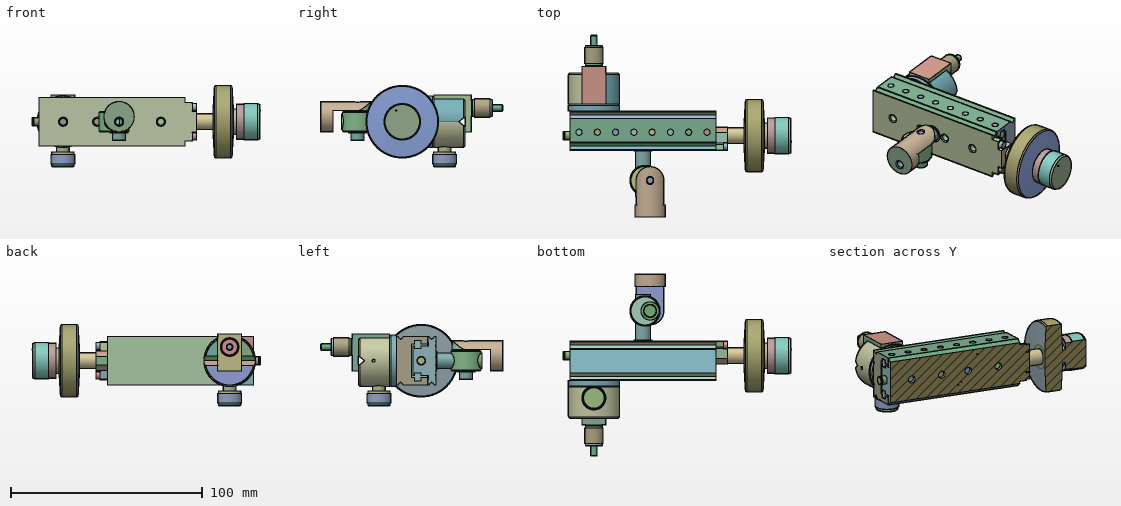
import cadquery as cq


body_length = 76.2
body_height = 25.5
body_front = -7.6
body_back = 13.0
half_height = body_height / 2

groove_depth = 1.7
back_groove_y = 10.7
front_groove_y = -5.5

gap_outer_z = 8.8
gap_inner_z = 7.7
gap_back_y = 5.0
stem_back_y = 4.3
slit_back_y = -3.2
slit_front_y = -3.6
end_recess = 0.2

seat_width = 3.5
seat_inner_z = 6.4
seat_outer_z = 10.6
seat_center_y = 1.8

screw_count = 8
screw_pitch = 9.5
screw_hole_diameter = 3.2
screw_recess = 0.1
mount_hole_diameter = 3.6
mount_hole_mouth = 4.8
mount_hole_depth = 3.6
mount_hole_offsets = (-25.5, -7.7, 7.7, 25.5)

plate_end = 80.0
bearing_end = 82.2
plate_half_height = 10.1
plate_back_y = -3.8
plate_chamfer = 0.7
bearing_half_height = 5.1
tongue_half_height = 5.4
bearing_back_y = 4.4
bearing_chamfer = 2.9
cap_screw_diameter = 3.8
cap_screw_z = 7.6

shaft_diameter = 8.3
pin_diameter = 4.4
pin_length = 3.6
pin_chamfer = 0.2
pin_groove_start = 0.7
pin_groove_end = 1.1
pin_groove_depth = 0.2
wheel_start = 90.7
wheel_end = 101.5
wheel_diameter = 37.9
wheel_hub_diameter = 12.6
wheel_dish = 0.7
wheel_face_diameter = 36.9
wheel_chamfer = 0.8
neck_diameter = 13.3
knob_start = 102.9
knob_step = 106.9
knob_end = 115.1
knob_inner_diameter = 18.5
knob_outer_diameter = 19.0
knob_face_diameter = 18.0
knob_inner_chamfer = 0.2
knob_outer_chamfer = 1.1
index_dot_diameter = 0.7
index_dot_y = -3.2
index_dot_z = 5.8
index_dot_end = 115.5

clamp_x = 12.5
clamp_diameter = 26.9
clamp_end = 32.7
clamp_chamfer = 0.8
seam_start = 15.8
seam_end = 16.4
seam_depth = 0.4
notch_depth = 3.2
notch_half_height = 2.5
oil_hole_diameter = 1.5
oil_hole_depth = 2.4
oil_hole_y = 24.8

bracket_width = 12.6
bracket_top = 14.0
bracket_base_z = 6.0
bracket_bottom = -5.4
bracket_back = 36.1

spindle_z = 7.1
spindle_tip = 52.4
spindle_pin_diameter = 3.5
spindle_neck_diameter = 8.3
spindle_neck_end = 36.5
spindle_grip_start = 37.6
spindle_grip_end = 45.8
spindle_collar_end = 47.0
spindle_chamfer = 0.4
spindle_collar_diameter = 8.9
spindle_grip_diameter = 9.8

thumb_y = 22.0
thumb_bottom = -23.6
thumb_stem_diameter = 6.8
thumb_stem_top = -11.9
thumb_top = -15.7
thumb_grip_top = -17.1
thumb_grip_bottom = -21.9
thumb_chamfer = 0.5
thumb_rim_diameter = 11.7
thumb_grip_diameter = 12.5

rod_x = body_length / 2
rod_diameter = 8.0
rod_tip = -31.8
washer_diameter = 9.5
washer_thickness = 0.5
disc_x = 39.2
joint_x = 41.8
joint_y = -23.3
disc_diameter = 15.8
disc_half_height = 5.4
disc_chamfer = 0.6
bolt_diameter = 6.9
bolt_bottom = -9.9
bolt_chamfer = 0.4

arm_diameter = 15.8
arm_z = 2.6
arm_tip = -42.5
arm_foot_back = -36.1
arm_flat_z = disc_half_height + washer_thickness
arm_hole_diameter = 3.6
arm_hole_mouth = 4.8
pivot_hole_diameter = 3.2
pivot_hole_mouth = 4.3
pivot_hole_depth = 0.6

TURNING_FRAMES = {
    "X": ((0, 1, 0), (0, 0, -1)),
    "Y": ((1, 0, 0), (0, 0, 1)),
    "Z": ((1, 0, 0), (0, -1, 0)),
}


def turned(axis, center, profile):
    """Solid of revolution; profile lists (diameter, position along the axis)."""
    radial, normal = TURNING_FRAMES[axis]
    outline = [(0, profile[0][1])]
    outline += [(diameter / 2, position) for diameter, position in profile]
    outline += [(0, profile[-1][1])]
    plane = cq.Plane(origin=center, xDir=radial, normal=normal)
    return cq.Workplane(plane).polyline(outline).close().revolve(360, (0, 0), (0, 1))


def rod(axis, center, diameter, start, end):
    return turned(axis, center, [(diameter, start), (diameter, end)])


def block(x_range, y_range, z_range):
    """Box given by its limits along each axis."""
    sizes = [high - low for low, high in (x_range, y_range, z_range)]
    corner = (x_range[0], y_range[0], z_range[0])
    return cq.Workplane("XY").box(*sizes, centered=False).translate(corner)


def prism_x(points, start, end):
    """Prism along X from (y, z) corner points."""
    return cq.Workplane("YZ").workplane(offset=start).polyline(points).close().extrude(end - start)


def countersunk_hole(axis, center, diameter, mouth, surface, bottom):
    """Cutter for a hole with a 45 degree countersink at the surface."""
    inward = 1 if bottom > surface else -1
    shoulder = surface + inward * (mouth - diameter) / 2
    return turned(axis, center, [(mouth, surface), (diameter, shoulder), (diameter, bottom)])


def end_outline(start):
    """Cutter for the carriage outline and bearing seats in one end of the body."""
    x_range = (start, start + end_recess)
    outside = block(x_range, (slit_front_y, gap_back_y), (-gap_outer_z, gap_outer_z))
    stem = block(x_range, (slit_front_y, stem_back_y), (-gap_inner_z, gap_inner_z))
    outline = outside.cut(stem)
    seat_y = (seat_center_y - seat_width / 2, seat_center_y + seat_width / 2)
    outline = outline.union(block(x_range, seat_y, (seat_inner_z, seat_outer_z)))
    return outline.union(block(x_range, seat_y, (-seat_outer_z, -seat_inner_z)))


def stage_body():
    body = block((0, body_length), (body_front, body_back), (-half_height, half_height))
    for start in (0, body_length - end_recess):
        body = body.cut(end_outline(start))
    for side in (-1, 1):
        surface = side * half_height
        slit_z = sorted((side * gap_inner_z, surface))
        body = body.cut(block((0, body_length), (slit_front_y, slit_back_y), slit_z))
        for groove_y in (front_groove_y, back_groove_y):
            corners = [
                (groove_y - groove_depth, surface),
                (groove_y, surface - side * groove_depth),
                (groove_y + groove_depth, surface),
            ]
            body = body.cut(prism_x(corners, 0, body_length))

    first_screw = (body_length - (screw_count - 1) * screw_pitch) / 2
    for index in range(screw_count):
        center = (first_screw + index * screw_pitch, seat_center_y, 0)
        recess_floor = half_height - screw_recess
        body = body.cut(rod("Z", center, screw_hole_diameter, recess_floor, half_height))

    for offset in mount_hole_offsets:
        center = (body_length / 2 + offset, 0, 0)
        bottom = body_front + mount_hole_depth
        hole = countersunk_hole("Y", center, mount_hole_diameter, mount_hole_mouth, body_front, bottom)
        body = body.cut(hole)
    return body


def end_plate():
    plate_z = (-plate_half_height, plate_half_height)
    tongue_z = (-tongue_half_height, tongue_half_height)
    bearing_z = (-bearing_half_height, bearing_half_height)
    front_y = (body_front, plate_back_y)
    plate = block((body_length, plate_end), front_y, plate_z)
    plate = plate.edges("|X and >Y").chamfer(plate_chamfer)
    tongue = block((body_length, bearing_end), front_y, tongue_z)
    bearing = block((body_length, bearing_end), (plate_back_y, bearing_back_y), bearing_z)
    bearing = bearing.edges("|X and >Y").chamfer(bearing_chamfer)
    plate = plate.union(tongue).union(bearing)
    for side in (-1, 1):
        center = (0, front_groove_y, side * cap_screw_z)
        plate = plate.union(rod("X", center, cap_screw_diameter, plate_end, bearing_end))
    return plate


def lead_screw():
    axis_origin = (0, 0, 0)
    groove_diameter = pin_diameter - 2 * pin_groove_depth
    pin = turned("X", axis_origin, [
        (pin_diameter - 2 * pin_chamfer, -pin_length),
        (pin_diameter, -pin_length + pin_chamfer),
        (pin_diameter, -pin_length + pin_groove_start),
        (groove_diameter, -pin_length + pin_groove_start),
        (groove_diameter, -pin_length + pin_groove_end),
        (pin_diameter, -pin_length + pin_groove_end),
        (pin_diameter, 0),
    ])
    handle = turned("X", axis_origin, [
        (shaft_diameter, bearing_end),
        (shaft_diameter, wheel_start),
        (wheel_hub_diameter, wheel_start),
        (wheel_face_diameter, wheel_start + wheel_dish),
        (wheel_diameter, wheel_start + wheel_dish + wheel_chamfer),
        (wheel_diameter, wheel_end - wheel_dish - wheel_chamfer),
        (wheel_face_diameter, wheel_end - wheel_dish),
        (neck_diameter, wheel_end),
        (neck_diameter, knob_start),
        (knob_face_diameter, knob_start),
        (knob_inner_diameter, knob_start + knob_inner_chamfer),
        (knob_inner_diameter, knob_step),
        (knob_outer_diameter, knob_step),
        (knob_outer_diameter, knob_end - knob_outer_chamfer),
        (knob_face_diameter, knob_end),
    ])
    dot_center = (0, index_dot_y, index_dot_z)
    index_dot = rod("X", dot_center, index_dot_diameter, knob_end, index_dot_end)
    return pin, handle.union(index_dot)


def rotary_clamp():
    seam_diameter = clamp_diameter - 2 * seam_depth
    clamp = turned("Y", (clamp_x, 0, 0), [
        (clamp_diameter, body_back),
        (clamp_diameter, seam_start),
        (seam_diameter, seam_start),
        (seam_diameter, seam_end),
        (clamp_diameter, seam_end),
        (clamp_diameter, clamp_end - clamp_chamfer),
        (clamp_diameter - 2 * clamp_chamfer, clamp_end),
    ])
    left = clamp_x - clamp_diameter / 2
    notch = [
        (clamp_end, -notch_half_height),
        (clamp_end - notch_depth, 0),
        (clamp_end, notch_half_height),
    ]
    clamp = clamp.cut(prism_x(notch, left, left + clamp_diameter))
    return clamp.cut(rod("X", (left, oil_hole_y, 0), oil_hole_diameter, 0, oil_hole_depth))


def bracket():
    x_range = (clamp_x - bracket_width / 2, clamp_x + bracket_width / 2)
    top = block(x_range, (seam_end, bracket_back), (bracket_base_z, bracket_top))
    leg = block(x_range, (clamp_end, bracket_back), (bracket_bottom, bracket_top))
    return top.union(leg)


def spindle():
    return turned("Y", (clamp_x, 0, spindle_z), [
        (spindle_neck_diameter, bracket_back),
        (spindle_neck_diameter, spindle_neck_end),
        (spindle_collar_diameter, spindle_neck_end),
        (spindle_collar_diameter, spindle_grip_start),
        (spindle_grip_diameter, spindle_grip_start),
        (spindle_grip_diameter, spindle_grip_end),
        (spindle_collar_diameter, spindle_grip_end),
        (spindle_collar_diameter, spindle_collar_end - spindle_chamfer),
        (spindle_collar_diameter - 2 * spindle_chamfer, spindle_collar_end),
        (spindle_pin_diameter, spindle_collar_end),
        (spindle_pin_diameter, spindle_tip - spindle_chamfer),
        (spindle_pin_diameter - 2 * spindle_chamfer, spindle_tip),
    ])


def thumb_screw():
    return turned("Z", (clamp_x, thumb_y, 0), [
        (thumb_rim_diameter - 2 * thumb_chamfer, thumb_bottom),
        (thumb_rim_diameter, thumb_bottom + thumb_chamfer),
        (thumb_rim_diameter, thumb_grip_bottom),
        (thumb_grip_diameter, thumb_grip_bottom),
        (thumb_grip_diameter, thumb_grip_top),
        (thumb_rim_diameter, thumb_grip_top),
        (thumb_rim_diameter, thumb_top),
        (thumb_stem_diameter, thumb_top),
        (thumb_stem_diameter, thumb_stem_top),
    ])


def swivel_joint():
    rod_center = (rod_x, 0, 0)
    joint_center = (joint_x, joint_y, 0)
    rim_face = disc_diameter - 2 * disc_chamfer
    joint = turned("Z", (disc_x, joint_y, 0), [
        (rim_face, -disc_half_height),
        (disc_diameter, -disc_half_height + disc_chamfer),
        (disc_diameter, disc_half_height - disc_chamfer),
        (rim_face, disc_half_height),
    ])
    joint = joint.union(rod("Y", rod_center, rod_diameter, rod_tip, body_front))
    joint = joint.union(rod("Y", rod_center, washer_diameter, body_front - washer_thickness, body_front))
    bolt = turned("Z", joint_center, [
        (bolt_diameter - 2 * bolt_chamfer, bolt_bottom),
        (bolt_diameter, bolt_bottom + bolt_chamfer),
        (bolt_diameter, -arm_flat_z),
        (washer_diameter, -arm_flat_z),
        (washer_diameter, arm_flat_z),
    ])
    return joint.union(bolt)


def arm():
    radius = arm_diameter / 2
    top = arm_z + radius
    flat_half_width = (radius**2 - (arm_flat_z - arm_z) ** 2) ** 0.5
    round_end = rod("Z", (joint_x, joint_y, 0), 2 * flat_half_width, arm_flat_z, top)
    tongue = block(
        (joint_x - flat_half_width, joint_x + flat_half_width),
        (arm_foot_back, joint_y),
        (arm_flat_z, top),
    ).union(round_end)
    foot = block(
        (joint_x - radius, joint_x + radius),
        (arm_tip, arm_foot_back),
        (arm_z - radius, top),
    )
    bar = rod("Y", (joint_x, 0, arm_z), arm_diameter, arm_tip, joint_y + radius)
    shape = bar.intersect(tongue.union(foot))

    mount = countersunk_hole(
        "Y", (joint_x, 0, 0), arm_hole_diameter, arm_hole_mouth, arm_tip, arm_foot_back
    )
    pivot = countersunk_hole(
        "Z", (joint_x, joint_y, 0), pivot_hole_diameter, pivot_hole_mouth, top, top - pivot_hole_depth
    )
    return shape.cut(mount).cut(pivot)


result = stage_body().union(end_plate())
for piece in lead_screw():
    result = result.union(piece)
for piece in (rotary_clamp(), bracket(), spindle(), thumb_screw(), swivel_joint(), arm()):
    result = result.union(piece)